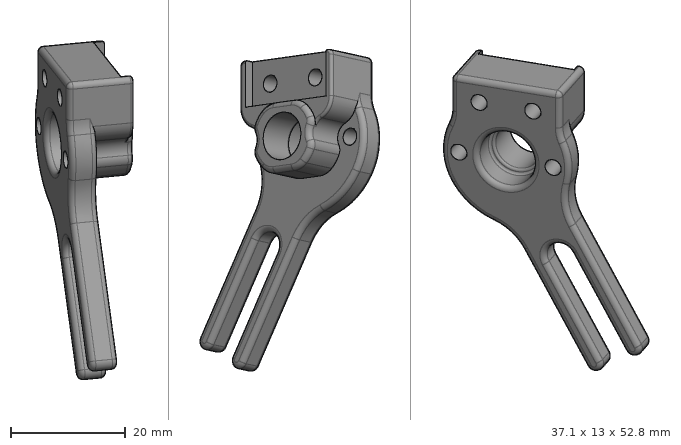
import cadquery as cq
import math


overall_height = 52.8

plate_depth = 5.0
disc_radius = 12.0
heel_radius = 14.0
edge_radius = 1.0
neck_blend_radius = 6.0

block_half_width = 10.25
block_back = 12.0
block_back_edge_radius = 0.55
block_corner_radius = 4.0

pocket_half_width = 8.95
pocket_depth = 2.0

boss_back = 13.0
boss_radius = 7.0
boss_half_height = 6.25
boss_corner_radius = 4.0
boss_edge_radius = boss_back - block_back

fork_angle = 30.0
slot_centre_distance = 20.0
tip_centre_distance = 40.0
tine_width = 3.0
tine_offset = 4.15
fork_blend_radius = 10.05
slot_half_width = tine_offset - tine_width / 2
fork_half_width = tine_offset + tine_width / 2

fork_bottom = (
    -tip_centre_distance * math.cos(math.radians(fork_angle))
    - tine_offset * math.sin(math.radians(fork_angle))
    - tine_width / 2
)
block_top = overall_height + fork_bottom

screw_diameter = 3.0
upper_hole_x = 5.0
upper_hole_z = 10.25
side_hole_x = 8.8
screw_clearance_radius = 2.75
clearance_lip_radius = 2.0

bore_diameter = 10.4
bore_depth = 5.0
through_diameter = 8.4
bore_step_radius = (bore_diameter - through_diameter) / 4


def slab(outline, start, end):
    """Extrude a closed XZ outline from Y = start to Y = end."""
    return outline.extrude(start - end).translate((0, start, 0))


def xz_plane():
    return cq.Workplane("XZ")


def disc(radius, start, end, x=0, z=0):
    return slab(xz_plane().center(x, z).circle(radius), start, end)


def box(half_width, bottom, top, start, end):
    return (
        cq.Workplane("XY")
        .box(2 * half_width, end - start, top - bottom, centered=(True, False, False))
        .translate((0, start, bottom))
    )


def fork_point(along, across):
    """XZ point given along the fork axis and across it, positive to the upper right."""
    angle = math.radians(fork_angle)
    return (
        along * math.sin(angle) + across * math.cos(angle),
        -along * math.cos(angle) + across * math.sin(angle),
    )


def fork_coordinates(point):
    """Inverse of fork_point."""
    angle = math.radians(fork_angle)
    return (
        point[0] * math.sin(angle) - point[1] * math.cos(angle),
        point[0] * math.cos(angle) + point[1] * math.sin(angle),
    )


def middle(start, end):
    return ((start[0] + end[0]) / 2, (start[1] + end[1]) / 2)


def toward(start, end, distance):
    """Point at a given distance from start in the direction of end."""
    share = distance / math.dist(start, end)
    return (start[0] + share * (end[0] - start[0]), start[1] + share * (end[1] - start[1]))


def mirrored(point):
    return (-point[0], point[1])


def make_plate():
    """Disc blended into the block sides above and into the two fork tines below."""
    neck_x = block_half_width + neck_blend_radius
    neck_z = math.sqrt((disc_radius + neck_blend_radius) ** 2 - neck_x**2)
    neck_centre = (neck_x, neck_z)
    neck_start = (block_half_width, neck_z)
    neck_mid = toward(neck_centre, (0, neck_z / 2), neck_blend_radius)
    neck_end = toward((0, 0), neck_centre, disc_radius)

    heel_start = (-block_half_width, -math.sqrt(disc_radius**2 - block_half_width**2))
    heel_centre = toward((0, 0), heel_start, disc_radius - heel_radius)

    def fork_blend(side, centre, radius):
        """Points of the arc joining a round of the plate to one outer tine edge."""
        along, across = fork_coordinates(centre)
        blend_across = side * (fork_half_width + fork_blend_radius)
        reach = radius + fork_blend_radius
        blend_along = along + math.sqrt(reach**2 - (blend_across - across) ** 2)
        blend_centre = fork_point(blend_along, blend_across)
        round_end = toward(centre, blend_centre, radius)
        tine_end = fork_point(blend_along, side * fork_half_width)
        blend_mid = toward(blend_centre, middle(round_end, tine_end), fork_blend_radius)
        return round_end, blend_mid, tine_end

    right_disc_end, right_mid, right_tine = fork_blend(1, (0, 0), disc_radius)
    left_heel_end, left_mid, left_tine = fork_blend(-1, heel_centre, heel_radius)
    heel_mid = toward(heel_centre, middle(heel_start, left_heel_end), heel_radius)
    tip_end = tip_centre_distance + tine_width / 2

    outline = (
        xz_plane()
        .moveTo(-block_half_width, block_top)
        .lineTo(block_half_width, block_top)
        .lineTo(*neck_start)
        .threePointArc(neck_mid, neck_end)
        .threePointArc((disc_radius, 0), right_disc_end)
        .threePointArc(right_mid, right_tine)
        .lineTo(*fork_point(tip_centre_distance, fork_half_width))
        .threePointArc(fork_point(tip_end, tine_offset), fork_point(tip_centre_distance, slot_half_width))
        .lineTo(*fork_point(slot_centre_distance, slot_half_width))
        .threePointArc(
            fork_point(slot_centre_distance - slot_half_width, 0),
            fork_point(slot_centre_distance, -slot_half_width),
        )
        .lineTo(*fork_point(tip_centre_distance, -slot_half_width))
        .threePointArc(fork_point(tip_end, -tine_offset), fork_point(tip_centre_distance, -fork_half_width))
        .lineTo(*left_tine)
        .threePointArc(left_mid, left_heel_end)
        .threePointArc(heel_mid, heel_start)
        .threePointArc((-disc_radius, 0), mirrored(neck_end))
        .threePointArc(mirrored(neck_mid), mirrored(neck_start))
        .close()
    )
    plate = slab(outline, 0, plate_depth)
    top_corners = plate.edges("|Y").edges(">Z").vals()
    return plate.newObject(top_corners + plate.faces("|Y").edges().vals()).fillet(edge_radius)


def make_boss():
    """Disc with flats above and below, hollowed at the sides for the screw heads."""
    boss = disc(boss_radius, edge_radius, boss_back).intersect(
        box(boss_radius, -boss_half_height, boss_half_height, 0, boss_back)
    )
    boss = boss.edges("|Y").fillet(boss_corner_radius)
    for side in (-1, 1):
        boss = boss.cut(disc(screw_clearance_radius, 0, boss_back, side * side_hole_x))
    lips = cq.selectors.BoxSelector(
        (-boss_radius, 0, -screw_clearance_radius), (boss_radius, boss_back, screw_clearance_radius)
    )
    boss = boss.edges("|Y").edges(lips).fillet(clearance_lip_radius)
    return boss.faces(">Y").edges().fillet(boss_edge_radius)


def make_block():
    """Block whose lower corners roll into the screw head clearances."""
    corner_x = block_half_width - block_corner_radius
    reach = screw_clearance_radius + block_corner_radius
    corner_z = math.sqrt(reach**2 - (side_hole_x - corner_x) ** 2)
    corner_centre = (corner_x, corner_z)
    clearance_centre = (side_hole_x, 0)
    corner_start = (block_half_width, corner_z)
    corner_end = toward(clearance_centre, corner_centre, screw_clearance_radius)
    corner_mid = toward(corner_centre, (block_half_width, 0), block_corner_radius)
    clearance_end = (side_hole_x - screw_clearance_radius, 0)
    clearance_mid = toward(
        clearance_centre, middle(corner_end, clearance_end), screw_clearance_radius
    )
    outline = (
        xz_plane()
        .moveTo(-block_half_width, block_top)
        .lineTo(block_half_width, block_top)
        .lineTo(*corner_start)
        .threePointArc(corner_mid, corner_end)
        .threePointArc(clearance_mid, clearance_end)
        .lineTo(*mirrored(clearance_end))
        .threePointArc(mirrored(clearance_mid), mirrored(corner_end))
        .threePointArc(mirrored(corner_mid), mirrored(corner_start))
        .close()
    )
    block = slab(outline, edge_radius, block_back)
    block = block.edges("|Y and >Z").fillet(edge_radius)
    return block.faces(">Y").edges("|Z").fillet(block_back_edge_radius)


def make_pocket():
    """Recess in the back of the block, level with the upper flat of the boss."""
    return box(pocket_half_width, boss_half_height, block_top, block_back - pocket_depth, block_back)


def make_bore():
    """Bore from the front with a rounded mouth, stepping down through a fillet and a round."""
    mouth_radius = bore_diameter / 2 + edge_radius
    step_middle = bore_diameter / 2 - bore_step_radius
    step_end = bore_depth + 2 * bore_step_radius
    mouth_arc = edge_radius * math.sqrt(0.5)
    step_arc = bore_step_radius * math.sqrt(0.5)
    half_section = (
        cq.Workplane("XY")
        .moveTo(0, 0)
        .lineTo(mouth_radius, 0)
        .threePointArc(
            (mouth_radius - mouth_arc, edge_radius - mouth_arc), (bore_diameter / 2, edge_radius)
        )
        .lineTo(bore_diameter / 2, bore_depth)
        .threePointArc(
            (step_middle + step_arc, bore_depth + step_arc), (step_middle, bore_depth + bore_step_radius)
        )
        .threePointArc((step_middle - step_arc, step_end - step_arc), (through_diameter / 2, step_end))
        .lineTo(through_diameter / 2, boss_back)
        .lineTo(0, boss_back)
        .close()
    )
    return half_section.revolve(360, (0, 0, 0), (0, 1, 0))


def make_screw_holes():
    places = [(side_hole_x, 0), (upper_hole_x, upper_hole_z)]
    places += [mirrored(place) for place in places]
    return slab(xz_plane().pushPoints(places).circle(screw_diameter / 2), 0, block_back)


raised = make_block().cut(make_pocket()).union(make_boss())
result = make_plate().union(raised).cut(make_bore()).cut(make_screw_holes())